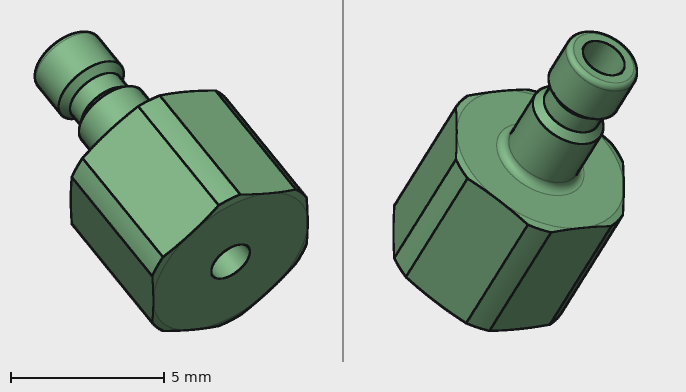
import cadquery as cq
import math

total_length = 10.0
head_start = 5.0

across_flats = 6.0
head_radius = 3.25
end_face_radius = across_flats / 2
chamfer_angle = 15.0
chamfer_length = (head_radius - end_face_radius) * math.tan(math.radians(chamfer_angle))

stem_radius = 1.27
nose_fillet = 0.19
root_fillet = 0.3
bore_diameter = 1.5

groove_radius = 1.0
groove_start = 1.58
groove_end = 2.8
groove_depth = stem_radius - groove_radius


def revolve_about_x(profile):
    """Turn a closed (x, radius) profile in the XY plane about the X axis."""
    return profile.close().revolve(360, (0, 0, 0), (1, 0, 0))


def make_head():
    head_length = total_length - head_start
    across_corners = across_flats / math.cos(math.radians(30))
    prism = (
        cq.Workplane("YZ", origin=(head_start, 0, 0))
        .transformed(rotate=(0, 0, 90))
        .polygon(6, across_corners)
        .extrude(head_length)
    )
    turned = revolve_about_x(
        cq.Workplane("XY")
        .moveTo(head_start, 0)
        .lineTo(head_start, end_face_radius)
        .lineTo(head_start + chamfer_length, head_radius)
        .lineTo(total_length - chamfer_length, head_radius)
        .lineTo(total_length, end_face_radius)
        .lineTo(total_length, 0)
    )
    return prism.intersect(turned)


def make_stem():
    root_radius = stem_radius + root_fillet
    overlap = 0.1
    return revolve_about_x(
        cq.Workplane("XY")
        .lineTo(0, stem_radius - nose_fillet)
        .radiusArc((nose_fillet, stem_radius), nose_fillet)
        .lineTo(groove_start, stem_radius)
        .lineTo(groove_start + groove_depth, groove_radius)
        .lineTo(groove_end - groove_depth, groove_radius)
        .lineTo(groove_end, stem_radius)
        .lineTo(head_start - root_fillet, stem_radius)
        .radiusArc((head_start, root_radius), -root_fillet)
        .lineTo(head_start + overlap, root_radius)
        .lineTo(head_start + overlap, 0)
    )


bore = cq.Workplane("YZ").circle(bore_diameter / 2).extrude(total_length)

result = make_head().union(make_stem()).cut(bore)